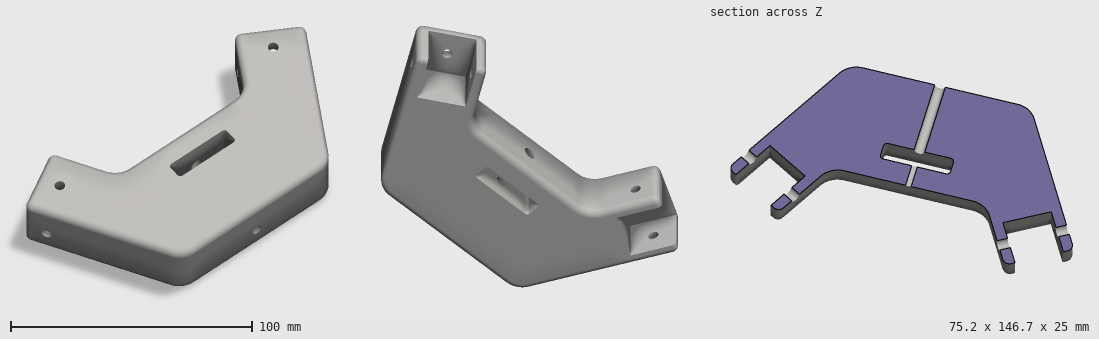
import cadquery as cq
import math

height = 25.0
total_width = 146.7
body_depth = 50.0
arm_length = 70.8
arm_width = 29.9
arm_angle = 30.0
bend_radius = 10.0
edge_radius = 3.0
end_bottom_radius = 2.2

pocket_width = 20.5
pocket_depth = 20.0
pocket_height = 20.2

screw_diameter = 4.4
screw_height = 10.0
front_hole_diameter = 5.5
front_hole_height = height / 2

slot_width = 7.5
slot_length = 29.9
slot_wall = 10.0
slot_corner_radius = 1.5
slot_center_x = -body_depth + slot_wall + slot_width / 2

slope = math.radians(arm_angle)
corner_rounding_loss = edge_radius * (math.sin(slope) + math.cos(slope) - 1)
back_half_length = total_width / 2 + corner_rounding_loss - arm_length * math.sin(slope)
outer_end = (
    -arm_length * math.cos(slope),
    back_half_length + arm_length * math.sin(slope),
)
inner_end = (
    outer_end[0] - arm_width * math.sin(slope),
    outer_end[1] - arm_width * math.cos(slope),
)
inner_bend = (
    -body_depth,
    back_half_length + body_depth * math.tan(slope) - arm_width / math.cos(slope),
)
end_center = (
    (outer_end[0] + inner_end[0]) / 2,
    (outer_end[1] + inner_end[1]) / 2,
)


def make_body():
    """Bent outline, extruded, with rounded bends, corners and edges."""
    upper = [(0, back_half_length), outer_end, inner_end, inner_bend]
    lower = [(x, -y) for x, y in reversed(upper)]
    body = cq.Workplane("XY").polyline(upper + lower).close().extrude(height)
    for x, y in (upper[0], inner_bend, lower[0], lower[-1]):
        bend = cq.selectors.NearestToPointSelector((x, y, height / 2))
        body = body.edges("|Z").edges(bend).fillet(bend_radius)
    end_x, end_y = end_center
    for y in (end_y, -end_y):
        end_bottom = cq.selectors.NearestToPointSelector((end_x, y, 0))
        body = body.edges("<Z").edges(end_bottom).fillet(end_bottom_radius)

    end_corners = []
    for x, y in (outer_end, inner_end, lower[1], lower[2]):
        corner = cq.selectors.NearestToPointSelector((x, y, height / 2))
        end_corners += body.edges("|Z").edges(corner).vals()
    top_edges = body.faces(">Z").edges().vals()
    side_bottom_edges = [
        edge
        for edge in body.faces("<Z").edges().vals()
        if math.dist((edge.Center().x, abs(edge.Center().y)), end_center) > 2 * end_bottom_radius
    ]
    return body.newObject(end_corners + top_edges + side_bottom_edges).fillet(edge_radius)


def make_arm_cut():
    """Pocket and its three screw holes, for the +Y arm.

    Modelled with the arm end at the origin and the arm running along +X.
    """
    pocket = cq.Workplane("XY").box(
        2 * pocket_depth, pocket_width, pocket_height, centered=(True, True, False)
    )
    hole_x = pocket_depth / 2
    roof_hole = cq.Workplane("XY").center(hole_x, 0).circle(screw_diameter / 2).extrude(height)
    side_holes = (
        cq.Workplane("XZ")
        .center(hole_x, screw_height)
        .circle(screw_diameter / 2)
        .extrude(arm_width, both=True)
    )
    cut = pocket.union(roof_hole).union(side_holes)
    return cut.rotate((0, 0, 0), (0, 0, 1), -arm_angle).translate((*end_center, 0))


def make_slot():
    return (
        cq.Workplane("XY")
        .center(slot_center_x, 0)
        .rect(slot_width, slot_length)
        .extrude(height)
        .edges("|Z")
        .fillet(slot_corner_radius)
    )


def make_x_hole(start_x, end_x, hole_height, diameter):
    return (
        cq.Workplane("YZ", origin=(start_x, 0, hole_height))
        .circle(diameter / 2)
        .extrude(end_x - start_x)
    )


arm_cut = make_arm_cut()
front_hole = make_x_hole(-body_depth, slot_center_x, front_hole_height, front_hole_diameter)
back_hole = make_x_hole(slot_center_x, 0, screw_height, screw_diameter)

result = (
    make_body()
    .cut(arm_cut)
    .cut(arm_cut.mirror("XZ"))
    .cut(make_slot())
    .cut(front_hole)
    .cut(back_hole)
)